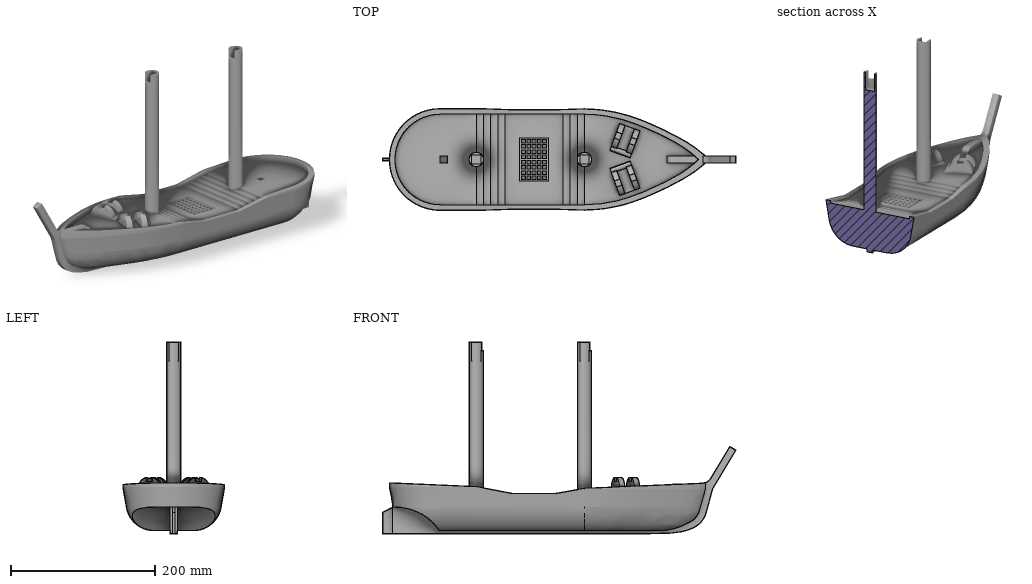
import cadquery as cq
import math


FLARE = math.radians(10)
KNUCKLE_Z = 64.4
BOW_KNUCKLE_Z = 62.0
HALF_BEAM = 70.58
HULL_BOTTOM_Z = 4.4
BILGE_TOP_Z = 37.0
BLANK_TOP_Z = 80.0
BILGE_RADIUS = (BILGE_TOP_Z - HULL_BOTTOM_Z) / (1 - math.sin(FLARE))
BILGE_HALF_WIDTH = HALF_BEAM - (KNUCKLE_Z - BILGE_TOP_Z) * math.tan(FLARE)
FLOOR_HALF_WIDTH = BILGE_HALF_WIDTH - BILGE_RADIUS * math.cos(FLARE)
BOW_HALF_BEAM = HALF_BEAM - (KNUCKLE_Z - BOW_KNUCKLE_Z) * math.tan(FLARE)
CUT_WIDTH = 4 * HALF_BEAM
BILGE_CENTER_Z = HULL_BOTTOM_Z + BILGE_RADIUS

BOW_X = 200.0
BOW_LENGTH = 173.0
BILGE_BOW_LENGTH = 166.0
FLOOR_BOW_LENGTH = 108.0
BOW_SHOULDER_X = 0.64
BOW_SHOULDER_Y = 0.58
BOW_TIP_SLOPE = math.radians(45)
BULWARK_THICKNESS = 7.8
BOW_INNER_LENGTH = 158.0
STERN_RUN_START = (-62.0, BILGE_TOP_Z)
STERN_RUN_END = (-1.2, HULL_BOTTOM_Z)
FAR_AFT_X = -90.0

TAFFRAIL_X = -67.0
STERN_RIM = (-72.0, 70.8)
WAIST_AFT_RIM = (50.0, 65.7)
WAIST_RIM_Z = 56.2
WAIST_FLAT_X = (100.0, 160.0)
BOW_RIM = (200.0, 63.3)
BOW_TIP_RIM = (372.0, 70.8)
WAIST_DECK_Z = 52.0
AFT_STEPS_X = (50.0, 60.0, 70.0, 80.0, 90.0)
FORE_STEPS_X = (170.0, 180.0, 190.0, 200.0)
STEP_RISE = 2.0
FAR_FORE_X = 380.0

KEEL_WIDTH = 10.0
STEM_DEPTH = 10.0
KEEL_AFT_X = -66.0
STEM_START_X = 282.0
STEM_BEND = (369.0, 30.0)
STEM_KNEE = (377.8, 62.4)
BOWSPRIT_ANGLE = math.radians(59)
BOWSPRIT_LENGTH = 62.6
KNEE_RADIUS = 11.7
RUDDER_AFT_X = -80.0
RUDDER_WIDTH = 4.0
RUDDER_AFT_Z = 30.0
BEAM_AFT_X = 314.5
BEAM_FORE_X = 372.0
BEAM_TOP_Z = 69.0
BEAM_NOSE_RADIUS = 9.0

MAST_X = (50.0, 200.0)
MAST_DIAMETER = 20.0
MAST_TOP_Z = 266.0
MAST_FOOT_Z = 50.0
SOCKET_SIZE = 13.0
SOCKET_DEPTH = 26.0
SOCKET_MOUTH_DEPTH = 12.0

HATCH_CENTER_X = 130.0
HATCH_SIZE = (40.0, 60.0)
HATCH_DEPTH = 1.0
GRATE_COLUMNS = 5
GRATE_ROWS = 8
GRATE_PITCH = 7.3
GRATE_HOLE = 5.0
GRATE_HOLE_DEPTH = 4.0
TILLER_SIZE = 10.0
TILLER_X = 5.0
TILLER_DEPTH = 10.0

CARRIAGE_CENTER = (256.0, 26.0)
CARRIAGE_ANGLE = 20.0
CARRIAGE_LENGTH = 40.0
CARRIAGE_WIDTH = 30.0
CARRIAGE_BASE = 2.0
CHEEK_WIDTH = 8.0
CHEEK_RADIUS = 17.0
TRUNNION_NOTCH_WIDTH = 9.0
TRUNNION_NOTCH_DEPTH = 6.5
TAIL_RADIUS = 4.0

FORE_DECK_Z = WAIST_DECK_Z + STEP_RISE * len(FORE_STEPS_X)
AFT_DECK_Z = WAIST_DECK_Z + STEP_RISE * len(AFT_STEPS_X)


def prism_y(profile, width):
    """Extrude an XZ profile by width, centred on the XZ plane."""
    return profile.extrude(width / 2, both=True)


def xz():
    return cq.Workplane("XZ")


def half_section(plane):
    """Half of the hull section, from the centreline out to the bulwark."""
    mid_angle = (math.pi / 2 - FLARE) / 2
    bilge_middle = (
        FLOOR_HALF_WIDTH + BILGE_RADIUS * math.sin(mid_angle),
        BILGE_CENTER_Z - BILGE_RADIUS * math.cos(mid_angle),
    )
    return (
        cq.Workplane(plane)
        .moveTo(0, HULL_BOTTOM_Z)
        .lineTo(FLOOR_HALF_WIDTH, HULL_BOTTOM_Z)
        .threePointArc(bilge_middle, (BILGE_HALF_WIDTH, BILGE_TOP_Z))
        .lineTo(HALF_BEAM, KNUCKLE_Z)
        .lineTo(HALF_BEAM, BLANK_TOP_Z)
        .lineTo(0, BLANK_TOP_Z)
        .close()
    )


def bow_outline(workplane, half_width, length):
    """Pointed plan outline of the bow, closed across the bow section."""
    tip = (BOW_X + length, 0)
    shoulder = (BOW_X + BOW_SHOULDER_X * length, BOW_SHOULDER_Y * half_width)
    entry = (math.cos(BOW_TIP_SLOPE), math.sin(BOW_TIP_SLOPE))
    return (
        workplane.moveTo(BOW_X, half_width)
        .spline([shoulder, tip], tangents=[(1, 0), (entry[0], -entry[1])], includeCurrent=True)
        .spline(
            [(shoulder[0], -shoulder[1]), (BOW_X, -half_width)],
            tangents=[(-entry[0], -entry[1]), (-1, 0)],
            includeCurrent=True,
        )
        .close()
    )


def bow_loft(levels, ruled):
    """Loft bow outlines given as (height, half width, length)."""
    loft = cq.Workplane("XY")
    previous_z = 0
    for height, half_width, length in levels:
        loft = bow_outline(loft.workplane(offset=height - previous_z), half_width, length)
        previous_z = height
    return loft.loft(ruled=ruled)


def make_bow():
    """Bow whose plan shrinks through the flare and the bilge down to the floor."""
    bilge_steps = 6
    bilge_levels = []
    for i in range(bilge_steps + 1):
        angle = (math.pi / 2 - FLARE) * i / bilge_steps
        half_width = FLOOR_HALF_WIDTH + BILGE_RADIUS * math.sin(angle)
        height = BILGE_CENTER_Z - BILGE_RADIUS * math.cos(angle)
        share = math.sin(angle) / math.cos(FLARE)
        length = FLOOR_BOW_LENGTH + (BILGE_BOW_LENGTH - FLOOR_BOW_LENGTH) * share
        bilge_levels.append((height, half_width, length))
    top_level = (BOW_KNUCKLE_Z, BOW_HALF_BEAM, BOW_LENGTH)
    bilge = bow_loft(bilge_levels, ruled=False)
    side = bow_loft([bilge_levels[-1], top_level], ruled=True)
    bulwark = bow_outline(cq.Workplane("XY", origin=(0, 0, BOW_KNUCKLE_Z)), BOW_HALF_BEAM, BOW_LENGTH)
    return bilge.union(side).union(bulwark.extrude(BLANK_TOP_Z - BOW_KNUCKLE_Z))


def make_hull_blank():
    """Solid hull with an untrimmed flat top: round stern, straight middle body and bow."""
    stern = half_section("XZ").revolve(360, (0, 0, 0), (0, 1, 0))
    side = half_section("YZ").extrude(BOW_X)
    middle = side.union(side.mirror("XZ"))
    return stern.union(middle).union(make_bow())


def stern_run():
    """Material removed under the stern, along an arc rising aft."""
    run_length = STERN_RUN_END[0] - STERN_RUN_START[0]
    run_rise = STERN_RUN_START[1] - STERN_RUN_END[1]
    radius = (run_length**2 + run_rise**2) / (2 * run_rise)
    half_angle = math.asin(run_length / radius) / 2
    middle = (
        STERN_RUN_START[0] + radius * math.sin(half_angle),
        STERN_RUN_START[1] - radius * (1 - math.cos(half_angle)),
    )
    profile = (
        xz()
        .moveTo(FAR_AFT_X, STERN_RUN_START[1])
        .lineTo(*STERN_RUN_START)
        .threePointArc(middle, STERN_RUN_END)
        .lineTo(STERN_RUN_END[0], 0)
        .lineTo(FAR_AFT_X, 0)
        .close()
    )
    return prism_y(profile, CUT_WIDTH)


def above_sheer():
    """Material removed above the rim."""
    profile = xz().polyline([
        STERN_RIM,
        (TAFFRAIL_X, STERN_RIM[1]),
        WAIST_AFT_RIM,
        (WAIST_FLAT_X[0], WAIST_RIM_Z),
        (WAIST_FLAT_X[1], WAIST_RIM_Z),
        BOW_RIM,
        BOW_TIP_RIM,
        (FAR_FORE_X, BOW_TIP_RIM[1]),
        (FAR_FORE_X, 2 * BLANK_TOP_Z),
        (FAR_AFT_X, 2 * BLANK_TOP_Z),
        (FAR_AFT_X, STERN_RIM[1]),
    ]).close()
    return prism_y(profile, CUT_WIDTH)


def above_decks():
    """Space inside the bulwark, over the stepped decks."""
    half_width = HALF_BEAM - BULWARK_THICKNESS
    base = cq.Workplane("XY")
    inside = (
        base.circle(half_width).extrude(BLANK_TOP_Z)
        .union(base.rect(BOW_X, 2 * half_width).extrude(BLANK_TOP_Z).translate((BOW_X / 2, 0, 0)))
        .union(bow_outline(base, half_width, BOW_INNER_LENGTH).extrude(BLANK_TOP_Z))
    )
    points = [(FAR_AFT_X, BLANK_TOP_Z), (FAR_AFT_X, AFT_DECK_Z)]
    height = AFT_DECK_Z
    for x in AFT_STEPS_X:
        points.append((x, height))
        height -= STEP_RISE
        points.append((x, height))
    for x in FORE_STEPS_X:
        points.append((x, height))
        height += STEP_RISE
        points.append((x, height))
    points += [(FAR_FORE_X, height), (FAR_FORE_X, BLANK_TOP_Z)]
    return inside.intersect(prism_y(xz().polyline(points).close(), CUT_WIDTH))


def make_keel():
    """Keel, stem and bowsprit in one strip, with the fin under the stern."""
    stem_angle = math.atan2(STEM_KNEE[1] - STEM_BEND[1], STEM_KNEE[0] - STEM_BEND[0])
    stem_along = (math.cos(stem_angle), math.sin(stem_angle))
    sprit_along = (math.cos(BOWSPRIT_ANGLE), math.sin(BOWSPRIT_ANGLE))
    tip = (
        STEM_KNEE[0] + BOWSPRIT_LENGTH * sprit_along[0],
        STEM_KNEE[1] + BOWSPRIT_LENGTH * sprit_along[1],
    )
    sprit_top = (tip[0] - STEM_DEPTH * sprit_along[1], tip[1] + STEM_DEPTH * sprit_along[0])
    rim_z = BOW_TIP_RIM[1]
    corner_x = sprit_top[0] - (sprit_top[1] - rim_z) / math.tan(BOWSPRIT_ANGLE)
    knee_setback = KNEE_RADIUS * math.tan(BOWSPRIT_ANGLE / 2)
    knee_start = (corner_x + knee_setback * sprit_along[0], rim_z + knee_setback * sprit_along[1])
    knee_end = (corner_x - knee_setback, rim_z)
    knee_middle = (
        knee_end[0] + KNEE_RADIUS * math.sin(BOWSPRIT_ANGLE / 2),
        rim_z + KNEE_RADIUS * (1 - math.cos(BOWSPRIT_ANGLE / 2)),
    )
    inner_bend = (STEM_BEND[0] - STEM_DEPTH * stem_along[1], STEM_BEND[1] + STEM_DEPTH * stem_along[0])
    strip = (
        xz()
        .moveTo(KEEL_AFT_X, 0)
        .lineTo(STEM_START_X, 0)
        .spline([STEM_BEND], tangents=[(1, 0), stem_along], includeCurrent=True)
        .lineTo(*STEM_KNEE)
        .lineTo(*tip)
        .lineTo(*sprit_top)
        .lineTo(*knee_start)
        .threePointArc(knee_middle, knee_end)
        .lineTo(*inner_bend)
        .spline(
            [(STEM_START_X, STEM_DEPTH)],
            tangents=[(-stem_along[0], -stem_along[1]), (-1, 0)],
            includeCurrent=True,
        )
        .lineTo(KEEL_AFT_X, STEM_DEPTH)
        .close()
    )
    fin = xz().polyline([
        (KEEL_AFT_X, 0),
        (0, 0),
        (0, BILGE_TOP_Z),
        (KEEL_AFT_X, BILGE_TOP_Z),
    ]).close()
    return prism_y(strip, KEEL_WIDTH).union(prism_y(fin, KEEL_WIDTH))


def make_rudder():
    profile = xz().polyline([
        (RUDDER_AFT_X, 0),
        (KEEL_AFT_X, 0),
        (KEEL_AFT_X, BILGE_TOP_Z),
        (RUDDER_AFT_X, RUDDER_AFT_Z),
    ]).close()
    return prism_y(profile, RUDDER_WIDTH)


def make_bow_beam():
    """Beam on the fore deck behind the stem, with a rounded aft end."""
    height = BEAM_TOP_Z - FORE_DECK_Z
    beam = cq.Workplane("XY").box(
        BEAM_FORE_X - BEAM_AFT_X, KEEL_WIDTH, height + BEAM_NOSE_RADIUS, centered=(False, True, False)
    )
    beam = beam.edges("<X and >Z").fillet(BEAM_NOSE_RADIUS)
    return beam.translate((BEAM_AFT_X, 0, FORE_DECK_Z - BEAM_NOSE_RADIUS))


def make_mast():
    """Mast at the origin, with a square socket in its top that opens forward."""
    mast = cq.Workplane("XY", origin=(0, 0, MAST_FOOT_Z)).circle(MAST_DIAMETER / 2)
    mast = mast.extrude(MAST_TOP_Z - MAST_FOOT_Z)
    socket = cq.Workplane("XY").box(
        SOCKET_SIZE, SOCKET_SIZE, SOCKET_DEPTH, centered=(True, True, False)
    ).translate((0, 0, MAST_TOP_Z - SOCKET_DEPTH))
    mouth = cq.Workplane("XY").box(
        MAST_DIAMETER, SOCKET_SIZE, SOCKET_MOUTH_DEPTH, centered=(False, True, False)
    ).translate((0, 0, MAST_TOP_Z - SOCKET_MOUTH_DEPTH))
    return mast.cut(socket).cut(mouth)


def hatch_cut():
    """Shallow hatch recess with a grid of square grate holes in its floor."""
    floor_z = WAIST_DECK_Z - HATCH_DEPTH
    recess = cq.Workplane("XY", origin=(HATCH_CENTER_X, 0, floor_z)).rect(*HATCH_SIZE)
    grate = (
        cq.Workplane("XY", origin=(HATCH_CENTER_X, 0, floor_z - GRATE_HOLE_DEPTH))
        .rarray(GRATE_PITCH, GRATE_PITCH, GRATE_COLUMNS, GRATE_ROWS)
        .rect(GRATE_HOLE, GRATE_HOLE)
    )
    return recess.extrude(HATCH_DEPTH).union(grate.extrude(GRATE_HOLE_DEPTH))


def tiller_socket():
    socket = cq.Workplane("XY", origin=(TILLER_X, 0, AFT_DECK_Z - TILLER_DEPTH))
    return socket.rect(TILLER_SIZE, TILLER_SIZE).extrude(TILLER_DEPTH)


def block(length_x, length_y, height, y=0, z=0):
    """Box standing on height z, centred on X = 0 and on the given Y."""
    return cq.Workplane("XY", origin=(0, y, z)).rect(length_x, length_y).extrude(height)


def half_drum(radius, y, z):
    """Half cylinder across the carriage width, lying flat side down on height z."""
    drum = cq.Workplane("YZ", origin=(0, y, z)).circle(radius).extrude(CARRIAGE_WIDTH / 2, both=True)
    return drum.intersect(block(CARRIAGE_WIDTH, 2 * radius, radius, y, z))


def make_carriage():
    """Gun carriage around the origin, muzzle end at +Y, standing on Z = 0."""
    muzzle_y = CARRIAGE_LENGTH / 2
    cheek_y = muzzle_y - CHEEK_RADIUS
    notch_z = CARRIAGE_BASE + CHEEK_RADIUS - TRUNNION_NOTCH_DEPTH
    base = block(CARRIAGE_WIDTH, CARRIAGE_LENGTH, CARRIAGE_BASE)
    tail = half_drum(TAIL_RADIUS, TAIL_RADIUS - muzzle_y, 0)
    cheeks = half_drum(CHEEK_RADIUS, cheek_y, CARRIAGE_BASE)
    notch = block(CARRIAGE_WIDTH, TRUNNION_NOTCH_WIDTH, TRUNNION_NOTCH_DEPTH, cheek_y, notch_z)
    gap_width = CARRIAGE_WIDTH - 2 * CHEEK_WIDTH
    gap = block(gap_width, 2 * CHEEK_RADIUS, CHEEK_RADIUS, cheek_y, CARRIAGE_BASE)
    return base.union(cheeks.cut(notch).cut(gap)).union(tail)


def make_ship():
    ship = make_hull_blank().cut(stern_run()).cut(above_sheer()).cut(above_decks())
    ship = ship.union(make_keel()).union(make_rudder()).union(make_bow_beam())
    ship = ship.cut(hatch_cut()).cut(tiller_socket())
    for x in MAST_X:
        ship = ship.union(make_mast().translate((x, 0, 0)))
    carriage = make_carriage().rotate((0, 0, 0), (0, 0, 1), -CARRIAGE_ANGLE)
    carriage = carriage.translate((*CARRIAGE_CENTER, FORE_DECK_Z))
    return ship.union(carriage).union(carriage.mirror("XZ"))


result = make_ship()